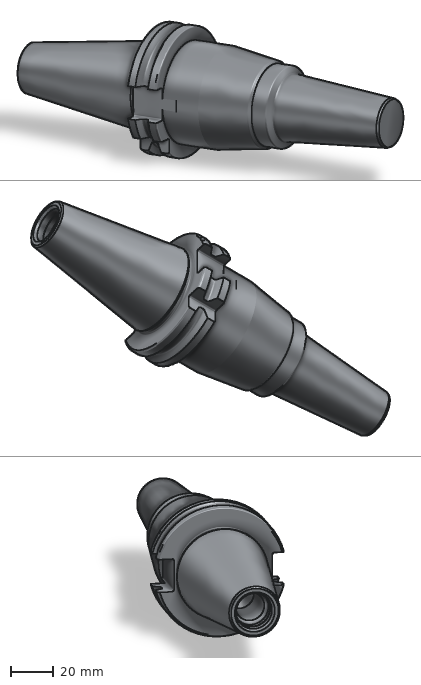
import cadquery as cq
import math

TAPER_END_X = -68.25
FLANGE_START_X = 3.2
FLANGE_END_X = 19.1
SLOT_END_X = 26.75
BODY_END_X = 38.75
NOSE_CONE_END_X = 63.75
SHANK_START_X = 74.95
TIP_X = 130.0

GAUGE_RADIUS = 44.45 / 2
TAPER_SLOPE = 7 / 48
TAPER_END_CHAMFER = 0.75
NECK_RADIUS = 21.75
NECK_START_X = 0.9
NECK_FILLET = 1.0

FLANGE_RADIUS = 63.55 / 2
FLANGE_EDGE_RADIUS = 1.0
GROOVE_CENTER_X = 11.1
GROOVE_FLOOR_RADIUS = 56.25 / 2
GROOVE_FLOOR_WIDTH = 2.8
GROOVE_FILLET = 1.2
GROOVE_HALF_ANGLE = 30.0

SLOT_WIDTH = 16.1
SLOT_FLOOR_MINUS_Y = 24.85
SLOT_FLOOR_PLUS_Y = 22.8
NOTCH_OFFSET = 18.4
CORNER_RADIUS = 1.2
CUT_REACH = 2 * FLANGE_RADIUS

BODY_RADIUS = 25.0
NOSE_CONE_END_RADIUS = 21.3
COLLAR_RADIUS = 20.0
COLLAR_END_ANGLE = 60.0
COLLAR_FILLET = 1.0
NOSE_EDGE_FILLET = 0.8
TIP_RADIUS = 12.0
SHANK_ANGLE = 4.5
TIP_CHAMFER = 1.2
TIP_CHAMFER_DEPTH = 0.5

MOUTH_RADIUS = 9.75
CENTER_CONE_RADIUS = 9.4
CENTER_CONE_START = 0.35
BORE_CONE_HALF_ANGLE = 30.0
RELIEF_RADIUS = 8.7
RELIEF_DEPTH = 5.1
ENTRY_RADIUS = 8.5
ENTRY_DEPTH = 8.2
THREAD_MAJOR_RADIUS = 8.0
THREAD_RADIUS = 6.92
THREAD_DEPTH = 32.0
DRILL_POINT_ANGLE = 118.0


def taper_radius(x):
    """Radius of the steep taper at station x."""
    return GAUGE_RADIUS + TAPER_SLOPE * x


def revolve_about_x(points):
    """Solid of revolution about X from (x, radius) points."""
    return cq.Workplane("XY").polyline(points).close().revolve(360, (0, 0, 0), (1, 0, 0))


def fillet_rims(solid, rims, fillet_radius):
    """Fillet the circular edges that pass through the given (x, radius) points."""
    for x, rim_radius in rims:
        solid = solid.edges(cq.selectors.NearestToPointSelector((x, 0, rim_radius))).fillet(fillet_radius)
    return solid


def make_blank():
    """Turned outline from taper end to tip, with rounded flange, neck, nose and collar edges."""
    chamfer_x = TAPER_END_X + TAPER_END_CHAMFER
    shank_radius = TIP_RADIUS + (TIP_X - SHANK_START_X) * math.tan(math.radians(SHANK_ANGLE))
    collar_drop = COLLAR_RADIUS - shank_radius
    collar_start_x = NOSE_CONE_END_X + NOSE_CONE_END_RADIUS - COLLAR_RADIUS
    collar_end_x = SHANK_START_X - collar_drop / math.tan(math.radians(COLLAR_END_ANGLE))

    nose_rim = (NOSE_CONE_END_X, NOSE_CONE_END_RADIUS)
    collar_rim = (collar_end_x, COLLAR_RADIUS)
    shank_rim = (SHANK_START_X, shank_radius)
    neck_rim = (FLANGE_START_X, NECK_RADIUS)
    flange_rims = [(FLANGE_START_X, FLANGE_RADIUS), (FLANGE_END_X, FLANGE_RADIUS)]

    blank = revolve_about_x([
        (TAPER_END_X, 0),
        (TAPER_END_X, taper_radius(TAPER_END_X) - TAPER_END_CHAMFER),
        (chamfer_x, taper_radius(chamfer_x)),
        (0, GAUGE_RADIUS),
        (NECK_START_X, NECK_RADIUS),
        neck_rim,
        flange_rims[0],
        flange_rims[1],
        (FLANGE_END_X, BODY_RADIUS),
        (BODY_END_X, BODY_RADIUS),
        nose_rim,
        (collar_start_x, COLLAR_RADIUS),
        collar_rim,
        shank_rim,
        (TIP_X - TIP_CHAMFER, TIP_RADIUS),
        (TIP_X, TIP_RADIUS - TIP_CHAMFER_DEPTH),
        (TIP_X, 0),
    ])
    blank = fillet_rims(blank, flange_rims, FLANGE_EDGE_RADIUS)
    blank = fillet_rims(blank, [neck_rim], NECK_FILLET)
    blank = fillet_rims(blank, [nose_rim], NOSE_EDGE_FILLET)
    return fillet_rims(blank, [collar_rim, shank_rim], COLLAR_FILLET)


def make_groove():
    """V-groove ring around the flange with rounded floor corners."""
    depth = FLANGE_RADIUS - GROOVE_FLOOR_RADIUS
    floor_half = GROOVE_FLOOR_WIDTH / 2
    mouth_half = floor_half + depth * math.tan(math.radians(GROOVE_HALF_ANGLE))
    floor_rims = [(GROOVE_CENTER_X + side * floor_half, GROOVE_FLOOR_RADIUS) for side in (-1, 1)]
    groove = revolve_about_x([
        (GROOVE_CENTER_X - mouth_half, FLANGE_RADIUS),
        *floor_rims,
        (GROOVE_CENTER_X + mouth_half, FLANGE_RADIUS),
    ])
    return fillet_rims(groove, floor_rims, GROOVE_FILLET)


def box_between(x_range, y_range, z_range):
    """Box spanning the given (low, high) range on each axis."""
    lengths = [high - low for low, high in (x_range, y_range, z_range)]
    return cq.Workplane("XY").box(*lengths, centered=False).translate(
        (x_range[0], y_range[0], z_range[0]))


def make_slot(side, floor):
    """Driving slot on the +Y (side = 1) or -Y (side = -1) flank with rounded floor corners."""
    y_range = sorted((side * floor, side * CUT_REACH))
    slot = box_between(
        (FLANGE_START_X, SLOT_END_X), y_range, (-SLOT_WIDTH / 2, SLOT_WIDTH / 2))
    floor_face = "<Y" if side > 0 else ">Y"
    return slot.faces(floor_face).edges("|X").fillet(CORNER_RADIUS)


def make_notch():
    """Orientation notch through the flange in the -Y, -Z quadrant."""
    notch = box_between(
        (FLANGE_START_X, FLANGE_END_X), (-CUT_REACH, -NOTCH_OFFSET), (-CUT_REACH, -NOTCH_OFFSET))
    return notch.edges("|X and >Y and >Z").fillet(CORNER_RADIUS)


def make_bore():
    """Blind bore from the taper end: center cone, relief, entry, thread core and drill point."""
    cone_slope = math.tan(math.radians(BORE_CONE_HALF_ANGLE))
    center_cone_end = CENTER_CONE_START + (CENTER_CONE_RADIUS - RELIEF_RADIUS) / cone_slope
    thread_start = ENTRY_DEPTH + (ENTRY_RADIUS - THREAD_MAJOR_RADIUS) / cone_slope
    thread_chamfer = THREAD_MAJOR_RADIUS - THREAD_RADIUS
    point_length = THREAD_RADIUS / math.tan(math.radians(DRILL_POINT_ANGLE / 2))
    bore = revolve_about_x([
        (0, 0),
        (0, MOUTH_RADIUS),
        (CENTER_CONE_START, CENTER_CONE_RADIUS),
        (center_cone_end, RELIEF_RADIUS),
        (RELIEF_DEPTH, RELIEF_RADIUS),
        (RELIEF_DEPTH, ENTRY_RADIUS),
        (ENTRY_DEPTH, ENTRY_RADIUS),
        (thread_start, THREAD_MAJOR_RADIUS),
        (thread_start + thread_chamfer, THREAD_RADIUS),
        (THREAD_DEPTH, THREAD_RADIUS),
        (THREAD_DEPTH + point_length, 0),
    ])
    return bore.translate((TAPER_END_X, 0, 0))


result = (
    make_blank()
    .cut(make_groove())
    .cut(make_slot(1, SLOT_FLOOR_PLUS_Y))
    .cut(make_slot(-1, SLOT_FLOOR_MINUS_Y))
    .cut(make_notch())
    .cut(make_bore())
)